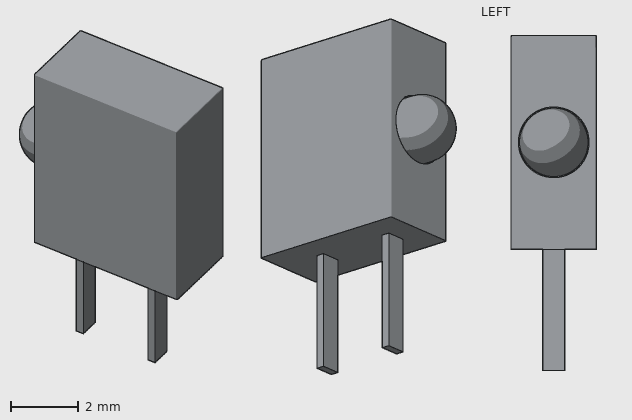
import cadquery as cq
import math

housing_length = 5.08
housing_width = 2.54
housing_height = 6.35
edge_radius = 0.05

lens_radius = 1.016
lens_rim_length = 0.127
lens_height = housing_height / 2
recess_radius = 1.05
recess_depth = lens_radius

lead_thickness = 0.254
lead_width = 0.66
lead_length = 3.6
lead_pitch = 2.54
first_lead_x = 1.016
lead_count = 2


def make_housing():
    block = cq.Workplane("XY").box(
        housing_length, housing_width, housing_height, centered=(False, True, False)
    )
    block = block.edges("|Z or >Z").fillet(edge_radius)
    recess = cq.Workplane("YZ").center(0, lens_height).circle(recess_radius).extrude(recess_depth)
    return block.cut(recess)


def make_lens():
    dome_tip_x = -lens_rim_length - lens_radius
    dome_mid = lens_radius * math.sqrt(0.5)
    profile = (
        cq.Workplane("XZ")
        .moveTo(recess_depth, 0)
        .lineTo(recess_depth, lens_radius)
        .lineTo(-lens_rim_length, lens_radius)
        .threePointArc((-lens_rim_length - dome_mid, dome_mid), (dome_tip_x, 0))
        .close()
    )
    return profile.revolve(360, (0, 0, 0), (1, 0, 0)).translate((0, 0, lens_height))


def make_lead(x):
    strip = cq.Workplane("XY").box(lead_thickness, lead_width, lead_length, centered=(True, True, False))
    return strip.translate((x, 0, -lead_length))


housing = make_housing()
lens = make_lens()
leads = [make_lead(first_lead_x + i * lead_pitch) for i in range(lead_count)]

result = cq.Compound.makeCompound([housing.val(), lens.val(), *[lead.val() for lead in leads]])